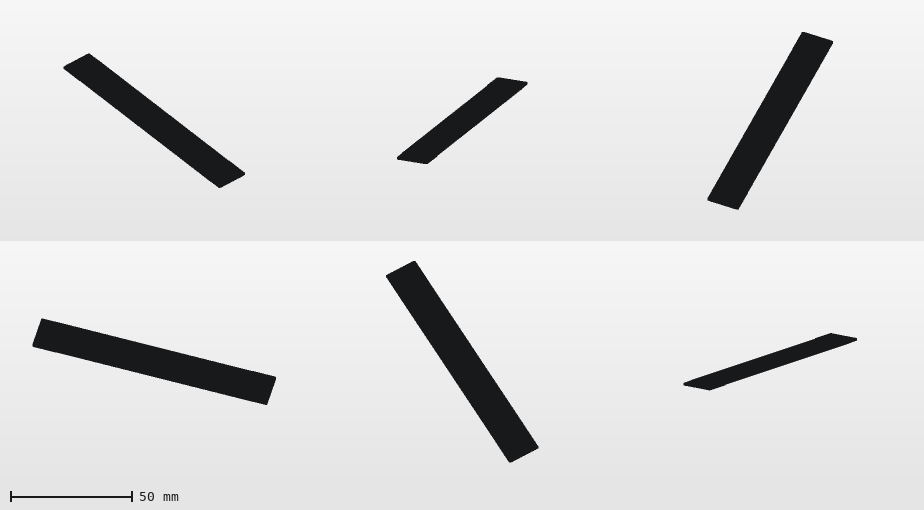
import cadquery as cq

length = 100.0
width = 13.0
thickness = 0.59

conductor_count = 12
conductor_pitch = 1.0
conductor_width = 0.7
conductor_thickness = 0.05

film_thickness = 0.07
contact_length = 5.0
stiffener_length = 10.0
core_thickness = 2 * film_thickness + conductor_thickness
stiffener_thickness = (thickness - core_thickness) / 2

lower_film_base = stiffener_thickness
conductor_base = lower_film_base + film_thickness
conductor_top = conductor_base + conductor_thickness
upper_film_top = conductor_top + film_thickness


def layer(x_start, x_end, z_start, z_end, y_size=width, y_center=0.0):
    """Flat strip between the given X and Z limits, centered at y_center."""
    return (
        cq.Workplane("XY")
        .box(x_end - x_start, y_size, z_end - z_start, centered=(False, True, False))
        .translate((x_start, y_center, z_start))
    )


lower_film = layer(0, length - contact_length, lower_film_base, conductor_base)
upper_film = layer(contact_length, length, conductor_top, upper_film_top)

lower_stiffener = layer(0, stiffener_length, 0, lower_film_base)
upper_stiffener = layer(length - stiffener_length, length, upper_film_top, thickness)

result = lower_film.union(upper_film).union(lower_stiffener).union(upper_stiffener)

for index in range(conductor_count):
    y_center = (index - (conductor_count - 1) / 2) * conductor_pitch
    conductor = layer(0, length, conductor_base, conductor_top, conductor_width, y_center)
    result = result.union(conductor)